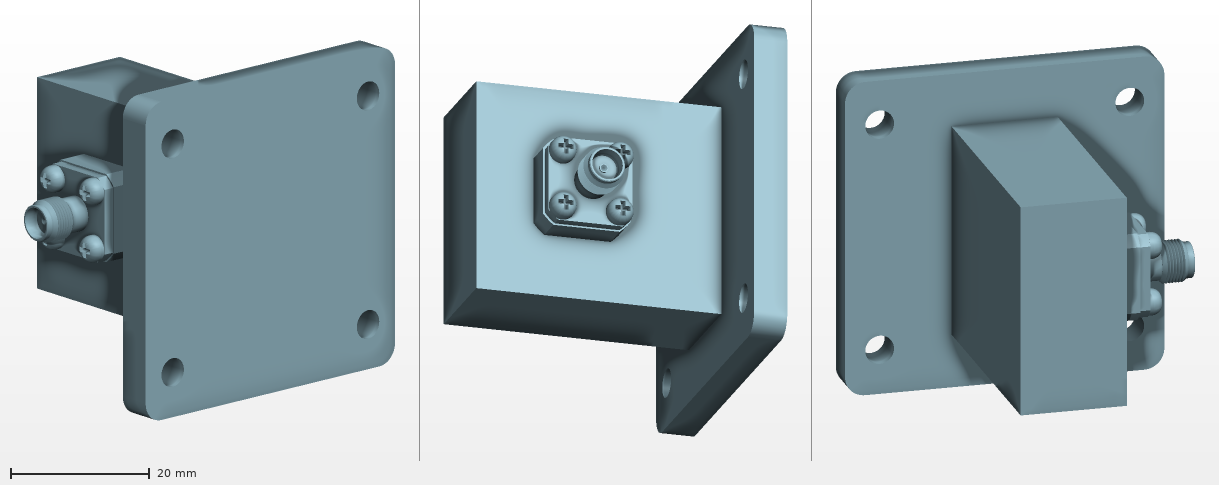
import cadquery as cq


FLANGE_SIZE = 47.79
FLANGE_THICKNESS = 5.0
FLANGE_CORNER_RADIUS = 3.0
FLANGE_HOLE_DIAMETER = 4.3
FLANGE_HOLE_SPACING_Y = 37.44
FLANGE_HOLE_SPACING_Z = 34.34

TOTAL_LENGTH = 42.0
BODY_LENGTH = TOTAL_LENGTH - FLANGE_THICKNESS
BODY_WIDTH = 15.88
BODY_HEIGHT = 31.75

CONNECTOR_X = 15.52
PAD_OFFSET = 0.25
PLATE_OFFSET = 0.17
PAD_X = CONNECTOR_X - PAD_OFFSET
PLATE_X = CONNECTOR_X - PLATE_OFFSET
PAD_SIZE = 13.2
PAD_CORNER_DIAMETER = 16.56
PAD_HEIGHT = 4.45
PLATE_SIZE = 12.7
PLATE_CORNER_DIAMETER = 16.0
PLATE_THICKNESS = 1.62
PAD_BASE_Y = -BODY_WIDTH / 2
PLATE_BASE_Y = PAD_BASE_Y - PAD_HEIGHT
PLATE_FACE_Y = PLATE_BASE_Y - PLATE_THICKNESS

SCREW_SPACING = 8.6
SCREW_HEAD_DIAMETER = 3.97
SCREW_RIM_HEIGHT = 0.55
SCREW_HEAD_HEIGHT = 2.1
SCREW_TOP_DIAMETER = 1.3
CROSS_LENGTH = 2.3
CROSS_WIDTH = 0.75
CROSS_DEPTH = 0.9
CROSS_TAPER = 15.0

BARREL_DIAMETER = 5.26
NOSE_DIAMETER = 5.34
THREAD_DIAMETER = 6.3
THREAD_ROOT_DIAMETER = 5.6
THREAD_BASE = 2.85
THREAD_TIP = 6.85
THREAD_LEAD_IN = 0.56
THREAD_PITCH = 0.465
THREAD_COUNT = 6
BARREL_LENGTH = 7.8
NOSE_CHAMFER = 0.12

MOUTH_DIAMETER = 4.6
THROAT_DIAMETER = 4.24
FLOOR_DIAMETER = 3.97
MOUTH_DEPTH = 1.7
BORE_DEPTH = 2.0
CONTACT_DIAMETER = 1.3
CONTACT_HOLE_DIAMETER = 1.0
CONTACT_HEIGHT = 0.3
CONTACT_HOLE_DEPTH = 0.5


def plane_facing_front(x, y, z=0.0):
    """Work plane at (x, y, z) with local x along X, local y along Z, normal along -Y."""
    return cq.Workplane(cq.Plane(origin=(x, y, z), xDir=(1, 0, 0), normal=(0, -1, 0)))


def make_flange():
    flange = (
        cq.Workplane("YZ", origin=(BODY_LENGTH, 0, 0))
        .rect(FLANGE_SIZE, FLANGE_SIZE)
        .extrude(FLANGE_THICKNESS)
        .edges("|X")
        .fillet(FLANGE_CORNER_RADIUS)
    )
    holes = (
        cq.Workplane("YZ", origin=(BODY_LENGTH, 0, 0))
        .rect(FLANGE_HOLE_SPACING_Y, FLANGE_HOLE_SPACING_Z, forConstruction=True)
        .vertices()
        .circle(FLANGE_HOLE_DIAMETER / 2)
        .extrude(FLANGE_THICKNESS)
    )
    return flange.cut(holes)


def make_body():
    return cq.Workplane("YZ").rect(BODY_WIDTH, BODY_HEIGHT).extrude(BODY_LENGTH)


def make_rounded_square(x, base_y, size, height, corner_diameter):
    """Square block whose four corners are trimmed by one circle about its axis."""
    base = plane_facing_front(x, base_y)
    corner_trim = base.circle(corner_diameter / 2).extrude(height)
    return base.rect(size, size).extrude(height).intersect(corner_trim)


def make_screw(x, z):
    rim_radius = SCREW_HEAD_DIAMETER / 2
    top_radius = SCREW_TOP_DIAMETER / 2
    plane = cq.Plane(origin=(x, PLATE_FACE_Y, z), xDir=(1, 0, 0), normal=(0, 0, 1))
    head = (
        cq.Workplane(plane)
        .lineTo(rim_radius, 0)
        .lineTo(rim_radius, -SCREW_RIM_HEIGHT)
        .ellipseArc(
            rim_radius - top_radius,
            SCREW_HEAD_HEIGHT - SCREW_RIM_HEIGHT,
            270,
            360,
            sense=-1,
        )
        .lineTo(0, -SCREW_HEAD_HEIGHT)
        .close()
        .revolve(360, (0, 0, 0), (0, 1, 0))
    )
    recess_plane = plane_facing_front(x, PLATE_FACE_Y - SCREW_HEAD_HEIGHT, z)
    slot_x = recess_plane.rect(CROSS_LENGTH, CROSS_WIDTH).extrude(-CROSS_DEPTH, taper=CROSS_TAPER)
    slot_z = recess_plane.rect(CROSS_WIDTH, CROSS_LENGTH).extrude(-CROSS_DEPTH, taper=CROSS_TAPER)
    return head.cut(slot_x).cut(slot_z)


def make_barrel():
    barrel_radius = BARREL_DIAMETER / 2
    nose_radius = NOSE_DIAMETER / 2
    crest_radius = THREAD_DIAMETER / 2
    root_radius = THREAD_ROOT_DIAMETER / 2
    outline = [
        (0, 0),
        (barrel_radius, 0),
        (barrel_radius, THREAD_BASE),
        (nose_radius, THREAD_BASE),
    ]
    first_crest = THREAD_BASE + THREAD_LEAD_IN
    outline.append((crest_radius, first_crest))
    for index in range(THREAD_COUNT):
        groove_start = first_crest + index * THREAD_PITCH
        outline.append((root_radius, groove_start + THREAD_PITCH / 2))
        outline.append((crest_radius, groove_start + THREAD_PITCH))
    outline += [
        (nose_radius, THREAD_TIP),
        (nose_radius, BARREL_LENGTH - NOSE_CHAMFER),
        (nose_radius - NOSE_CHAMFER, BARREL_LENGTH),
        (0, BARREL_LENGTH),
    ]
    mirrored = [(radius, -height) for radius, height in outline]
    plane = cq.Plane(origin=(CONNECTOR_X, PLATE_FACE_Y, 0), xDir=(1, 0, 0), normal=(0, 0, 1))
    barrel = cq.Workplane(plane).polyline(mirrored).close().revolve(360, (0, 0, 0), (0, 1, 0))

    tip_y = PLATE_FACE_Y - BARREL_LENGTH
    floor = plane_facing_front(CONNECTOR_X, tip_y + BORE_DEPTH)
    bore = (
        floor.circle(FLOOR_DIAMETER / 2)
        .workplane(offset=BORE_DEPTH - MOUTH_DEPTH)
        .circle(THROAT_DIAMETER / 2)
        .workplane(offset=MOUTH_DEPTH)
        .circle(MOUTH_DIAMETER / 2)
        .loft(ruled=True)
    )
    contact = floor.circle(CONTACT_DIAMETER / 2).extrude(CONTACT_HEIGHT)
    countersink = cq.Workplane(
        cq.Solid.makeCone(
            CONTACT_HOLE_DIAMETER / 2,
            0,
            CONTACT_HOLE_DEPTH,
            cq.Vector(CONNECTOR_X, tip_y + BORE_DEPTH - CONTACT_HEIGHT, 0),
            cq.Vector(0, 1, 0),
        )
    )
    return barrel.cut(bore).union(contact).cut(countersink)


pad = make_rounded_square(PAD_X, PAD_BASE_Y, PAD_SIZE, PAD_HEIGHT, PAD_CORNER_DIAMETER)
plate = make_rounded_square(
    PLATE_X, PLATE_BASE_Y, PLATE_SIZE, PLATE_THICKNESS, PLATE_CORNER_DIAMETER
)
result = make_flange().union(make_body()).union(pad).union(plate)
for side_x in (-1, 1):
    for side_z in (-1, 1):
        screw_x = PLATE_X + side_x * SCREW_SPACING / 2
        screw_z = side_z * SCREW_SPACING / 2
        result = result.union(make_screw(screw_x, screw_z))
result = result.union(make_barrel())